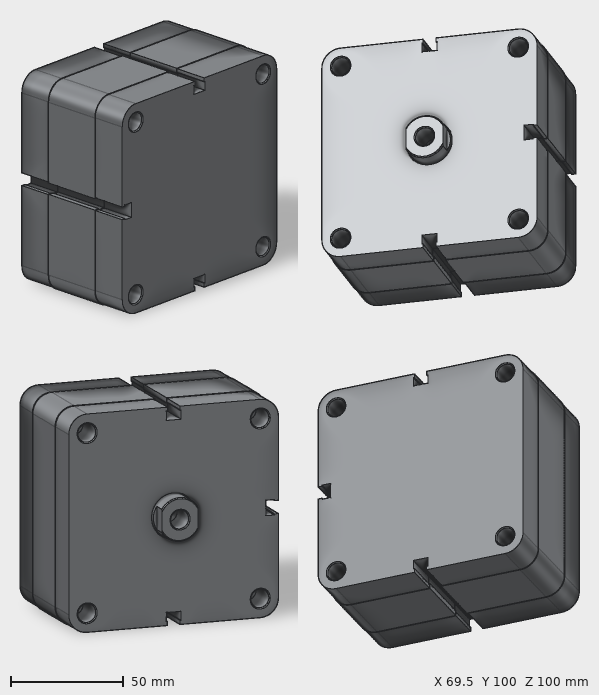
import cadquery as cq
import math

BARREL_WIDTH = 100.0
BARREL_LENGTH = 28.5
COVER_LENGTH = 16.5
COVER_INSET = 0.3

BOLT_SPACING = 82.0
BOLT_HOLE_DIAMETER = 8.5
BOLT_HOLE_CHAMFER = 0.5

SLOT_MOUTH_WIDTH = 5.4
SLOT_INNER_WIDTH = 6.4
SLOT_LIP_DEPTH = 2.5
SLOT_DEPTH = 6.0
SLOT_ANGLES = (0, 90, 180)

ROD_DIAMETER = 20.0
ROD_PROTRUSION = 8.0
ROD_CHAMFER = 0.5
ROD_BORE_DIAMETER = 21.0
FLAT_WIDTH = 17.0
FLAT_LENGTH = 6.6
FLAT_END_TILT = 15.0

ROD_HOLE_DIAMETER = 8.5
ROD_HOLE_CHAMFER = 0.5
ROD_HOLE_DEPTH = 15.0
DRILL_POINT_ANGLE = 118.0

ROD_TIP_X = 0.0
FRONT_COVER_X = ROD_TIP_X + ROD_PROTRUSION
BARREL_X = FRONT_COVER_X + COVER_LENGTH
REAR_COVER_X = BARREL_X + BARREL_LENGTH
REAR_FACE_X = REAR_COVER_X + COVER_LENGTH


def plane_at(x):
    """Plane across the axis: local x is +Y, local y is +Z, and extrusion goes towards +X."""
    return cq.Workplane("YZ", origin=(x, 0, 0))


def section_block(x, length, inset):
    """Rounded square block with bolt holes and T-slots, its walls set inwards by `inset`."""
    width = BARREL_WIDTH - 2 * inset
    corner_radius = (width - BOLT_SPACING) / 2
    block = plane_at(x).rect(width, width).extrude(length).edges("|X").fillet(corner_radius)

    holes = (
        plane_at(x)
        .rect(BOLT_SPACING, BOLT_SPACING, forConstruction=True)
        .vertices()
        .circle(BOLT_HOLE_DIAMETER / 2)
        .extrude(length)
    )
    block = block.cut(holes)

    slot = slot_cutter(x, length, inset)
    for angle in SLOT_ANGLES:
        block = block.cut(slot.rotate((0, 0, 0), (1, 0, 0), angle))
    return block


def slot_cutter(x, length, inset):
    """T-slot in the +Z side, made wider and deeper by `inset` on every wall."""
    outer_z = BARREL_WIDTH / 2
    lip_z = outer_z - SLOT_LIP_DEPTH + inset
    floor_z = outer_z - SLOT_DEPTH - inset
    half_mouth = SLOT_MOUTH_WIDTH / 2 + inset
    half_inner = SLOT_INNER_WIDTH / 2 + inset
    return (
        plane_at(x)
        .polyline([
            (-half_mouth, outer_z),
            (-half_mouth, lip_z),
            (-half_inner, lip_z),
            (-half_inner, floor_z),
            (half_inner, floor_z),
            (half_inner, lip_z),
            (half_mouth, lip_z),
            (half_mouth, outer_z),
        ])
        .close()
        .extrude(length)
    )


def bolt_chamfers(face_x, inward):
    """Cones that chamfer the bolt holes where they open on a cover face; `inward` is +1 or -1."""
    mouth_radius = BOLT_HOLE_DIAMETER / 2 + BOLT_HOLE_CHAMFER
    half_spacing = BOLT_SPACING / 2
    cones = cq.Workplane()
    for y in (-half_spacing, half_spacing):
        for z in (-half_spacing, half_spacing):
            cones.add(cq.Solid.makeCone(
                mouth_radius, 0, mouth_radius, cq.Vector(face_x, y, z), cq.Vector(inward, 0, 0)
            ))
    return cones.combine()


def make_front_cover():
    cover = section_block(FRONT_COVER_X, COVER_LENGTH, COVER_INSET)
    cover = cover.cut(bolt_chamfers(FRONT_COVER_X, 1))
    bore = plane_at(FRONT_COVER_X).circle(ROD_BORE_DIAMETER / 2).extrude(COVER_LENGTH)
    return cover.cut(bore)


def make_barrel():
    return section_block(BARREL_X, BARREL_LENGTH, 0)


def make_rear_cover():
    cover = section_block(REAR_COVER_X, COVER_LENGTH, COVER_INSET)
    return cover.cut(bolt_chamfers(REAR_FACE_X, -1))


def flat_cutter():
    """Cutter for the +Y wrench flat; its end face leans away from the tip as it goes outwards."""
    flat_y = FLAT_WIDTH / 2
    outer_y = ROD_DIAMETER
    end_x = ROD_TIP_X + FLAT_LENGTH
    outer_end_x = end_x + (outer_y - flat_y) * math.tan(math.radians(FLAT_END_TILT))
    return (
        cq.Workplane("XY")
        .polyline([(ROD_TIP_X, flat_y), (end_x, flat_y), (outer_end_x, outer_y), (ROD_TIP_X, outer_y)])
        .close()
        .extrude(ROD_DIAMETER / 2, both=True)
    )


def rod_hole_cutter():
    """Blind hole along the rod axis, with a chamfered mouth and a conical drill point."""
    radius = ROD_HOLE_DIAMETER / 2
    hole_end_x = ROD_TIP_X + ROD_HOLE_DEPTH
    point_x = hole_end_x + radius / math.tan(math.radians(DRILL_POINT_ANGLE / 2))
    return (
        cq.Workplane("XY")
        .polyline([
            (ROD_TIP_X, 0),
            (ROD_TIP_X, radius + ROD_HOLE_CHAMFER),
            (ROD_TIP_X + ROD_HOLE_CHAMFER, radius),
            (hole_end_x, radius),
            (point_x, 0),
        ])
        .close()
        .revolve(360, (0, 0, 0), (1, 0, 0))
    )


def make_rod():
    """Piston rod end, standing on the face of the barrel."""
    rod = plane_at(ROD_TIP_X).circle(ROD_DIAMETER / 2).extrude(BARREL_X - ROD_TIP_X)
    rod = rod.faces("<X").chamfer(ROD_CHAMFER)
    flat = flat_cutter()
    rod = rod.cut(flat).cut(flat.mirror("XZ"))
    return rod.cut(rod_hole_cutter())


front_cover = make_front_cover()
barrel = make_barrel()
rear_cover = make_rear_cover()
piston_rod = make_rod()

result = cq.Compound.makeCompound([front_cover.val(), barrel.val(), rear_cover.val(), piston_rod.val()])